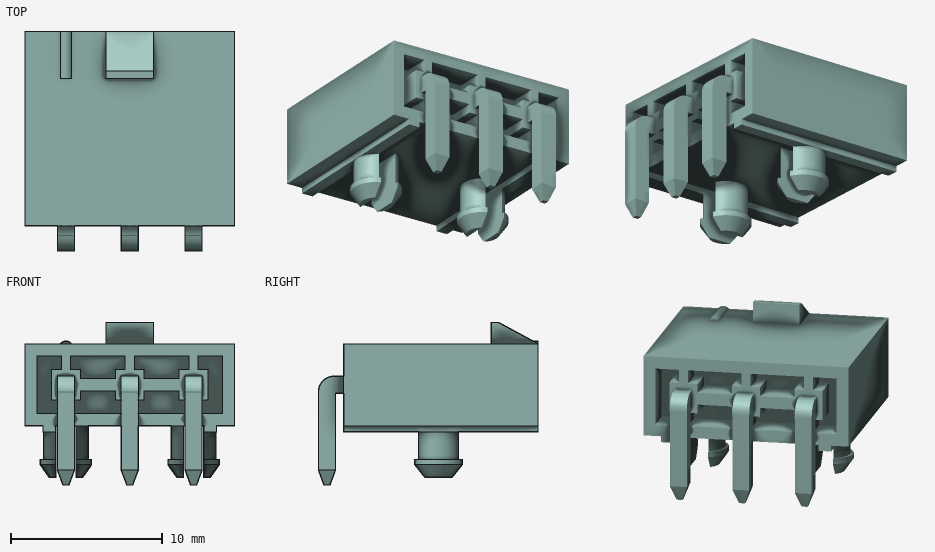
import cadquery as cq


housing_width = 13.8
housing_depth = 12.8
housing_height = 5.4
wall = 0.8
mid_height = housing_height / 2

contact_count = 3
pitch = 4.2
contact_positions = [(i - (contact_count - 1) / 2) * pitch for i in range(contact_count)]

recess_depth = 2.0
recess_width = housing_width - 2 * wall
recess_height = housing_height - 2 * wall
rib_width = 0.6
sleeve_width = 1.9
sleeve_height = 2.0
web_height = 0.8

pin_size = 1.14
pin_reach = 1.67
pin_drop = 3.9
pin_bend_radius = 1.04
pin_tip_size = 0.4
pin_tip_length = 1.0

latch_width = 3.14
latch_length = 3.1
latch_flat = 0.5
latch_height = 1.4
ridge_width = 0.72
ridge_height = 0.18
ridge_x = -pitch

rail_width = 0.84
rail_height = 0.4
rail_outer_x = 5.72

peg_x = pitch
peg_y = 6.24
peg_radius = 1.48
peg_lip_radius = 1.7
peg_tip_radius = 1.1
peg_lip_top = -2.2
peg_lip_bottom = -2.55
peg_bottom = -3.4
peg_slot_width = 1.32


def front_block(width, depth, height, x=0):
    """Box at mid height of the housing, running back from the front face."""
    return cq.Workplane("XY").box(width, depth, height).translate((x, depth / 2, mid_height))


def make_housing():
    """Block whose front recess is divided by a web, ribs and contact sleeves."""
    housing = front_block(housing_width, housing_depth, housing_height)
    recess = front_block(recess_width, recess_depth, recess_height)
    web_width = contact_positions[-1] - contact_positions[0]
    recess = recess.cut(front_block(web_width, recess_depth, web_height))
    for x in contact_positions:
        recess = recess.cut(front_block(rib_width, recess_depth, recess_height, x))
        recess = recess.cut(front_block(sleeve_width, recess_depth, sleeve_height, x))
    return housing.cut(recess)


def make_pin(x):
    """Square pin that leaves the front face, bends down and ends in a blunt point."""
    pin_top = mid_height + pin_size / 2
    leg_bottom = pin_tip_length - pin_drop
    leg_back = pin_size - pin_reach
    bar = (
        cq.Workplane("YZ")
        .moveTo(0, pin_top)
        .lineTo(pin_bend_radius - pin_reach, pin_top)
        .radiusArc((-pin_reach, pin_top - pin_bend_radius), -pin_bend_radius)
        .lineTo(-pin_reach, leg_bottom)
        .lineTo(leg_back, leg_bottom)
        .lineTo(leg_back, pin_top - pin_size)
        .lineTo(0, pin_top - pin_size)
        .close()
        .extrude(pin_size / 2, both=True)
    )
    tip = (
        cq.Workplane("XY", origin=(0, leg_back - pin_size / 2, -pin_drop))
        .rect(pin_tip_size, pin_tip_size)
        .workplane(offset=pin_tip_length)
        .rect(pin_size, pin_size)
        .loft()
    )
    return bar.union(tip).translate((x, 0, 0))


def make_latch():
    """Ramp rising from the rear edge of the top face to a short flat."""
    latch_front = housing_depth - latch_length
    latch_top = housing_height + latch_height
    return (
        cq.Workplane("YZ")
        .moveTo(housing_depth, housing_height)
        .lineTo(latch_front + latch_flat, latch_top)
        .lineTo(latch_front, latch_top)
        .lineTo(latch_front, housing_height)
        .close()
        .extrude(latch_width / 2, both=True)
    )


def make_ridge():
    """Low rounded ridge, as long as the latch, ending at the rear face."""
    return (
        cq.Workplane("XZ", origin=(ridge_x, housing_depth, housing_height))
        .moveTo(-ridge_width / 2, 0)
        .threePointArc((0, ridge_height), (ridge_width / 2, 0))
        .close()
        .extrude(latch_length)
    )


def make_rail(side):
    """Standoff rail along the full depth of the underside; side is -1 or 1."""
    rail = cq.Workplane("XY").box(rail_width, housing_depth, rail_height)
    rail_x = side * (rail_outer_x - rail_width / 2)
    return rail.translate((rail_x, housing_depth / 2, -rail_height / 2))


def make_peg(side):
    """Round snap-in peg with a lip and tapered end, split from front to rear."""
    peg = (
        cq.Workplane("XZ")
        .moveTo(0, 0)
        .lineTo(peg_radius, 0)
        .lineTo(peg_radius, peg_lip_top)
        .lineTo(peg_lip_radius, peg_lip_top)
        .lineTo(peg_lip_radius, peg_lip_bottom)
        .lineTo(peg_tip_radius, peg_bottom)
        .lineTo(0, peg_bottom)
        .close()
        .revolve(360, (0, 0, 0), (0, 1, 0))
    )
    slot = cq.Workplane("XY").box(peg_slot_width, 2 * peg_lip_radius, -peg_bottom)
    peg = peg.cut(slot.translate((0, 0, peg_bottom / 2)))
    return peg.translate((side * peg_x, peg_y, 0))


result = make_housing().union(make_latch()).union(make_ridge())
for x in contact_positions:
    result = result.union(make_pin(x))
for side in (-1, 1):
    result = result.union(make_rail(side)).union(make_peg(side))